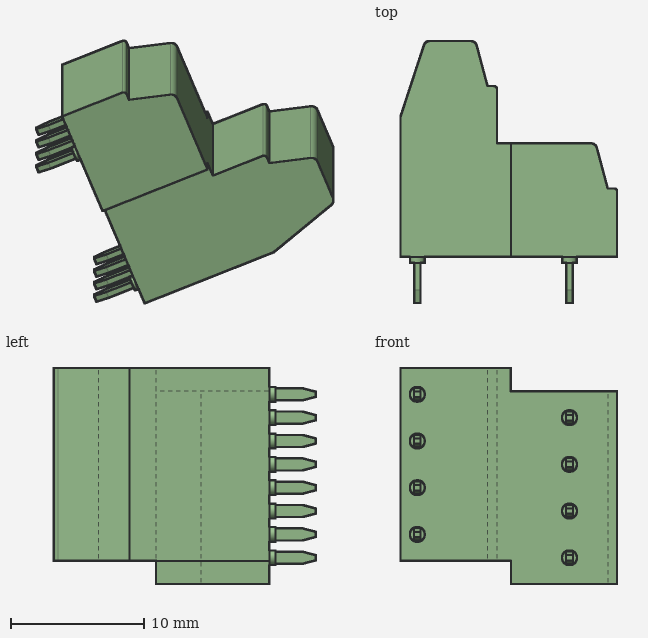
import cadquery as cq


body_width = 16.3
total_length = 19.7
pin_length = 3.49
pole_count = 4
pitch = 3.5
end_wall = 0.47
block_height = pole_count * pitch + end_wall
stagger = pitch / 2

tall_top = total_length - pin_length
level_drop = 7.68
low_top = tall_top - level_drop
parting_x = 8.31
tall_nose_end = 7.27
back_shoulder = 10.5
back_slope_run = 1.87
nose_drop = 3.39
nose_ledge = 0.7
nose_slope_run = 0.9
crest_radius = 0.5
ledge_radius = 0.24

pin_row_x = (1.28, 12.7)
collar_diameter = 1.12
collar_length = 0.45
blade_thickness = 0.5
blade_width = 0.93
tip_width = 0.4
tip_length = 1.0
edge_search = 0.02


def nose_points(end_x, top_y):
    """Corners of a nose from its crest out to its ledge corner."""
    slope_foot = end_x - nose_ledge
    ledge_y = top_y - nose_drop
    return [(slope_foot - nose_slope_run, top_y), (slope_foot, ledge_y), (end_x, ledge_y)]


def extruded_block(points, base_z):
    return cq.Workplane("XY").workplane(offset=base_z).polyline(points).close().extrude(block_height)


def round_corner(block, corner, radius):
    """Round the edge parallel to Z that passes through the given XY corner."""
    x, y = corner
    low = (x - edge_search, y - edge_search, -block_height)
    high = (x + edge_search, y + edge_search, 2 * block_height)
    return block.edges(cq.selectors.BoxSelector(low, high)).fillet(radius)


def tall_block():
    crest = (back_slope_run, tall_top)
    nose = nose_points(tall_nose_end, tall_top)
    back = [(0, 0), (0, back_shoulder), crest]
    foot = [(tall_nose_end, low_top), (parting_x, low_top), (parting_x, 0)]
    block = extruded_block(back + nose + foot, stagger)
    block = round_corner(block, crest, crest_radius)
    block = round_corner(block, nose[0], crest_radius)
    return round_corner(block, nose[-1], ledge_radius)


def low_block():
    nose = nose_points(body_width, low_top)
    points = [(parting_x, 0), (parting_x, low_top)] + nose + [(body_width, 0)]
    block = extruded_block(points, 0)
    block = round_corner(block, nose[0], crest_radius)
    return round_corner(block, nose[-1], ledge_radius)


def pin(x, z):
    """Round collar on the board face with a flat blade that tapers towards its tip."""
    collar = cq.Workplane("XZ", origin=(x, 0, z)).circle(collar_diameter / 2).extrude(collar_length)
    half_width = blade_width / 2
    half_tip = tip_width / 2
    taper_y = tip_length - pin_length
    blade = (
        cq.Workplane("YZ", origin=(x, 0, z))
        .polyline([
            (0, -half_width),
            (taper_y, -half_width),
            (-pin_length, -half_tip),
            (-pin_length, half_tip),
            (taper_y, half_width),
            (0, half_width),
        ])
        .close()
        .extrude(blade_thickness / 2, both=True)
    )
    return collar.union(blade)


result = tall_block().union(low_block())

first_pole_z = (block_height - (pole_count - 1) * pitch) / 2
for row_x, block_base in zip(pin_row_x, (stagger, 0)):
    for pole in range(pole_count):
        result = result.union(pin(row_x, block_base + first_pole_z + pole * pitch))